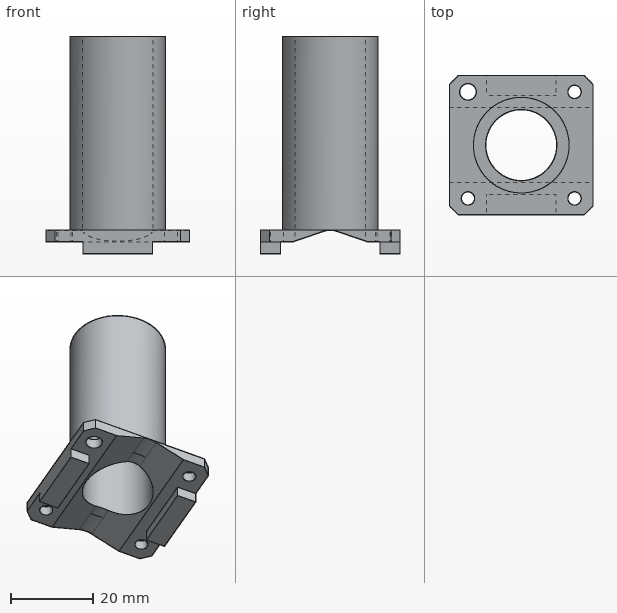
import cadquery as cq
import math

plate_x = 35.0
plate_y = 34.0
plate_thickness = 2.9
corner_chamfer = 2.15

tab_x = 16.95
tab_y = 4.95
tab_height = 2.9

total_height = 53.0
tube_diameter = 23.3
bore_diameter = 17.3

hole_offset = 13.0
hole_diameter = 3.2
large_hole_diameter = 4.0

groove_half_width = 9.1
groove_angle = math.radians(19)
groove_ridge_radius = 5.3

plate_top = tab_height + plate_thickness


def make_plate():
    plate = cq.Workplane("XY").workplane(offset=tab_height).rect(plate_x, plate_y).extrude(plate_thickness)
    return plate.edges("|Z").chamfer(corner_chamfer)


def make_tabs():
    tab_center = (plate_y - tab_y) / 2
    return (
        cq.Workplane("XY")
        .pushPoints([(0, -tab_center), (0, tab_center)])
        .rect(tab_x, tab_y)
        .extrude(tab_height)
    )


def make_tube():
    tube_length = total_height - plate_top
    return cq.Workplane("XY").workplane(offset=plate_top).circle(tube_diameter / 2).extrude(tube_length)


def make_groove():
    """Triangular prism whose ridge is rounded by an arc tangent to both slopes."""
    sharp_ridge_z = tab_height + groove_half_width * math.tan(groove_angle)
    arc_center_z = sharp_ridge_z - groove_ridge_radius / math.cos(groove_angle)
    tangent_y = groove_ridge_radius * math.sin(groove_angle)
    tangent_z = arc_center_z + groove_ridge_radius * math.cos(groove_angle)
    ridge_z = arc_center_z + groove_ridge_radius
    return (
        cq.Workplane("YZ")
        .moveTo(-groove_half_width, tab_height)
        .lineTo(-tangent_y, tangent_z)
        .threePointArc((0, ridge_z), (tangent_y, tangent_z))
        .lineTo(groove_half_width, tab_height)
        .close()
        .extrude(plate_x / 2, both=True)
    )


def make_through_holes():
    bore = cq.Workplane("XY").circle(bore_diameter / 2).extrude(total_height)
    small_holes = (
        cq.Workplane("XY")
        .pushPoints([(-hole_offset, -hole_offset), (hole_offset, -hole_offset), (hole_offset, hole_offset)])
        .circle(hole_diameter / 2)
        .extrude(plate_top)
    )
    large_hole = (
        cq.Workplane("XY")
        .center(-hole_offset, hole_offset)
        .circle(large_hole_diameter / 2)
        .extrude(plate_top)
    )
    return bore.union(small_holes).union(large_hole)


body = make_plate().union(make_tabs()).union(make_tube())
result = body.cut(make_groove()).cut(make_through_holes())